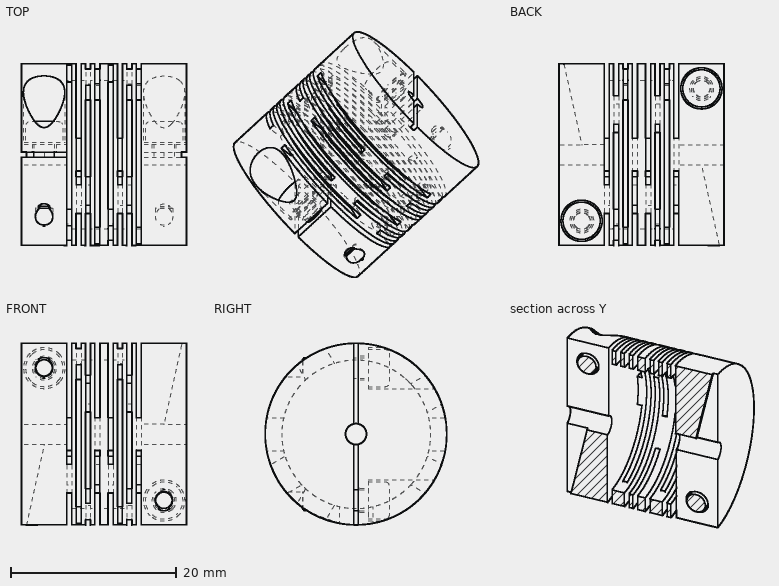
import cadquery as cq
import math

length = 20.0
outer_diameter = 22.0
cavity_diameter = 18.0
bore_diameter = 2.5
hub_length = 5.5
outer_radius = outer_diameter / 2
mid_length = length / 2

slot_width = 0.6
middle_ring_width = 1.01
first_web_angles = (120, 30, 150, 90)
slots_per_group = len(first_web_angles)
flexure_length = length - 2 * hub_length
group_length = (flexure_length - middle_ring_width) / 2
slot_pitch = (group_length - slot_width) / (slots_per_group - 1)
web_width = 4.0
second_web_offset = 150
ring_overlap = 0.22

split_width = 0.6
relief_rim_depth = 0.6
relief_taper_angle = 12.5

screw_height = 8.0
screw_inset = hub_length / 2
shank_diameter = 2.5
head_diameter = 4.5
head_height = 2.5
head_fillet = 0.5
tip_chamfer = 0.26
seat_y = 1.5
screw_tip_y = -6.51

counterbore_diameter = 5.0
clearance_diameter = 2.9
pilot_diameter = 2.1
countersink_diameter = 2.5
countersink_start_y = -8.47


def cylinder_x(diameter, x_start, x_end):
    """Cylinder on the coupling axis."""
    return cq.Workplane("YZ", origin=(x_start, 0, 0)).circle(diameter / 2).extrude(x_end - x_start)


def cylinder_y(diameter, y_start, y_end):
    """Cylinder on the clamp screw axis, running from y_start toward +Y."""
    sketch = cq.Workplane("XZ", origin=(screw_inset, y_start, screw_height))
    return sketch.circle(diameter / 2).extrude(y_start - y_end)


def web(angle, x_start):
    """Radial bar across one slot, turned from +Z toward -Y."""
    bar = cq.Workplane("XY").box(slot_width, web_width, outer_diameter, centered=(False, True, False))
    return bar.rotate((0, 0, 0), (1, 0, 0), angle).translate((x_start, 0, 0))


def flexure_slot(x_start, first_angle):
    """Ring cut through the tube wall, interrupted by two webs."""
    ring = cylinder_x(outer_diameter + 2 * ring_overlap, x_start, x_start + slot_width)
    ring = ring.cut(cylinder_x(cavity_diameter - 2 * ring_overlap, x_start, x_start + slot_width))
    return ring.cut(web(first_angle, x_start)).cut(web(first_angle + second_web_offset, x_start))


def split_cut():
    """Clamp split above the coupling axis and tapered relief below it, for the -X hub."""
    upper = cq.Workplane("XY").box(hub_length, split_width, outer_diameter, centered=(False, True, False))
    relief_axis_depth = relief_rim_depth + outer_radius * math.tan(math.radians(relief_taper_angle))
    lower = (
        cq.Workplane("XZ")
        .polyline([(0, 0), (relief_axis_depth, 0), (relief_rim_depth, -outer_radius), (0, -outer_radius)])
        .close()
        .extrude(split_width / 2, both=True)
    )
    return upper.union(lower)


def screw_holes():
    """Counterbore and clearance on +Y, pilot hole with a countersunk mouth on -Y."""
    holes = cylinder_y(counterbore_diameter, seat_y, outer_radius)
    holes = holes.union(cylinder_y(clearance_diameter, 0, seat_y))
    holes = holes.union(cylinder_y(pilot_diameter, -outer_radius, 0))
    sink_depth = (countersink_diameter - pilot_diameter) / 2
    sink = cylinder_y(countersink_diameter, -outer_radius, countersink_start_y)
    return holes.union(sink.faces(">Y").chamfer(sink_depth))


def clamp_screw():
    """Screw with its head in the counterbore and its shank biting the pilot hole."""
    shank = cylinder_y(shank_diameter, screw_tip_y, seat_y).faces("<Y").chamfer(tip_chamfer)
    head = cylinder_y(head_diameter, seat_y, seat_y + head_height).faces(">Y").edges().fillet(head_fillet)
    return shank.union(head)


def at_both_hubs(shape):
    """The shape at the -X hub plus its copy turned half a turn about Y for the +X hub."""
    far_copy = shape.rotate((mid_length, 0, 0), (mid_length, 1, 0), 180)
    return [shape, far_copy]


result = cylinder_x(outer_diameter, 0, length)
result = result.cut(cylinder_x(cavity_diameter, hub_length, length - hub_length))
result = result.cut(cylinder_x(bore_diameter, 0, length))

for group_start in (hub_length, length - hub_length - group_length):
    for index, first_angle in enumerate(first_web_angles):
        result = result.cut(flexure_slot(group_start + index * slot_pitch, first_angle))

for cutter in at_both_hubs(split_cut()) + at_both_hubs(screw_holes()):
    result = result.cut(cutter)
for screw in at_both_hubs(clamp_screw()):
    result = result.union(screw)